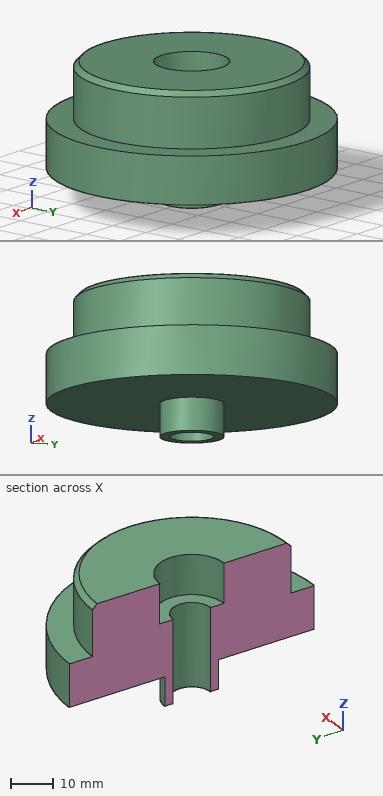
import cadquery as cq

flange_diameter = 69.0
flange_height = 12.0

boss_diameter = 56.0
boss_height = 14.0
boss_chamfer = 1.3

spigot_diameter = 15.2
spigot_length = 8.0

hole_diameter = 10.5
counterbore_diameter = 18.0
counterbore_depth = 11.0


def cylinder(diameter, height, bottom):
    """Return a cylinder on the Z axis rising from the given level."""
    return cq.Workplane("XY").workplane(offset=bottom).circle(diameter / 2).extrude(height)


flange_top = spigot_length + flange_height
total_height = flange_top + boss_height

spigot = cylinder(spigot_diameter, spigot_length, 0)
flange = cylinder(flange_diameter, flange_height, spigot_length)
boss = cylinder(boss_diameter, boss_height, flange_top).faces(">Z").chamfer(boss_chamfer)

hole = cylinder(hole_diameter, total_height, 0)
counterbore = cylinder(counterbore_diameter, counterbore_depth, total_height - counterbore_depth)

result = flange.union(boss).union(spigot).cut(hole).cut(counterbore)